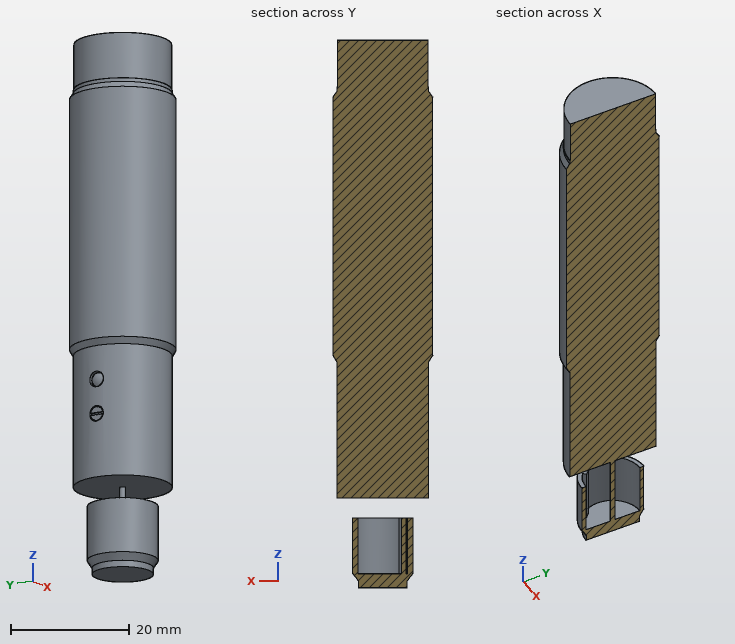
import cadquery as cq

total_height = 92.5
cap_diameter = 16.6
housing_diameter = 16.7
grip_diameter = 18.0
cap_base = 84.5
grip_chamfer_top = 83.9
grip_top = 82.9
grip_bottom = 39.2
grip_chamfer_bottom = 38.1
housing_bottom = 15.2

sleeve_diameter = 12.0
nose_diameter = 10.4
bore_diameter = 10.4
sleeve_top = 11.8
sleeve_shoulder = 2.4
nose_top = 1.1
pin_diameter = 1.0
pin_embed = 0.5
key_width = 1.1
key_reach = 0.7
key_angle = 225.0

pocket_diameter = 2.7
insert_diameter = 2.4
pocket_depth = 0.7
lens_height = 32.3
screw_height = 26.3
lens_rise = 0.4
screw_slot_width = 0.4
screw_slot_depth = 0.4

housing_radius = housing_diameter / 2
pocket_floor = housing_radius - pocket_depth
insert_face = (housing_radius**2 - (pocket_diameter / 2)**2)**0.5


def turned(profile):
    """Revolve a closed (radius, height) outline around the Z axis."""
    return cq.Workplane("XZ").polyline(profile).close().revolve(360, (0, 0), (0, 1))


def side_cylinder(diameter, height, inner, outer):
    """Round bar along -X at the given height, between two distances from the axis."""
    plane = cq.Workplane("YZ", origin=(-inner, 0, height))
    return plane.circle(diameter / 2).extrude(inner - outer)


def make_housing():
    return turned([
        (0, housing_bottom),
        (housing_radius, housing_bottom),
        (housing_radius, grip_chamfer_bottom),
        (grip_diameter / 2, grip_bottom),
        (grip_diameter / 2, grip_top),
        (housing_radius, grip_chamfer_top),
        (housing_radius, cap_base),
        (cap_diameter / 2, cap_base),
        (cap_diameter / 2, total_height),
        (0, total_height),
    ])


def make_connector():
    """Keyed sleeve, with a centre pin that carries it from the housing."""
    sleeve = turned([
        (0, 0),
        (nose_diameter / 2, 0),
        (nose_diameter / 2, nose_top),
        (sleeve_diameter / 2, sleeve_shoulder),
        (sleeve_diameter / 2, sleeve_top),
        (bore_diameter / 2, sleeve_top),
        (bore_diameter / 2, sleeve_shoulder),
        (0, sleeve_shoulder),
    ])
    key_inner = bore_diameter / 2 - key_reach
    key_outer = (bore_diameter + sleeve_diameter) / 4
    key = (
        cq.Workplane("XY", origin=((key_inner + key_outer) / 2, 0, sleeve_shoulder))
        .rect(key_outer - key_inner, key_width)
        .extrude(sleeve_top - sleeve_shoulder)
        .rotate((0, 0, 0), (0, 0, 1), key_angle)
    )
    pin_bottom = sleeve_shoulder - pin_embed
    pin_length = housing_bottom + pin_embed - pin_bottom
    pin = cq.Workplane("XY", origin=(0, 0, pin_bottom)).circle(pin_diameter / 2).extrude(pin_length)
    return sleeve.union(key).union(pin)


def make_lens():
    """Round lens whose outer end is a shallow spherical dome."""
    radius = insert_diameter / 2
    dome_base = insert_face - lens_rise
    dome_radius = (radius**2 + lens_rise**2) / (2 * lens_rise)
    bar = side_cylinder(insert_diameter, lens_height, pocket_floor, insert_face)
    ball = cq.Workplane("XY").sphere(dome_radius)
    ball_center = dome_base + lens_rise - dome_radius
    return bar.intersect(ball.translate((-ball_center, 0, lens_height)))


def make_screw():
    """Screw head with a straight slot across Y."""
    head = side_cylinder(insert_diameter, screw_height, pocket_floor, insert_face)
    slot = cq.Workplane("XY").box(2 * screw_slot_depth, insert_diameter, screw_slot_width)
    return head.cut(slot.translate((-insert_face, 0, screw_height)))


housing = make_housing()
for pocket_height in (lens_height, screw_height):
    housing = housing.cut(side_cylinder(pocket_diameter, pocket_height, pocket_floor, grip_diameter / 2))

result = housing.union(make_lens()).union(make_screw()).union(make_connector())